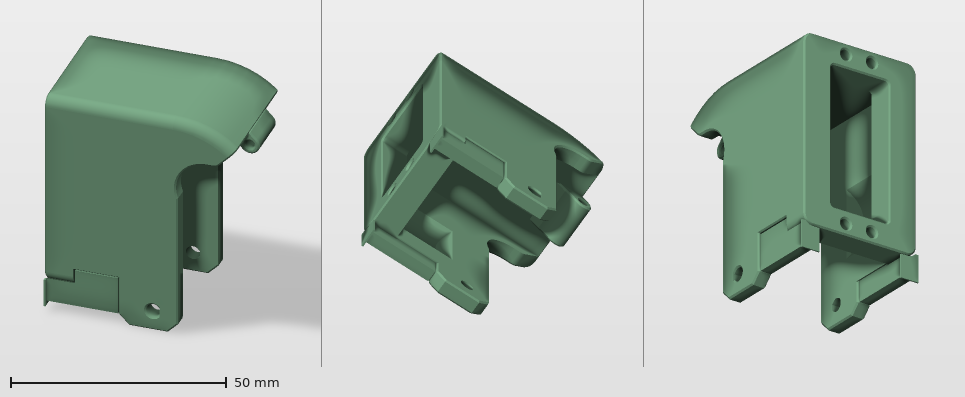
import cadquery as cq
import math

HEIGHT = 57.4
HALF_WIDTH = 16.0
WALL = 3.8
FRONT_WALL = 7.0
BODY_BOTTOM = 8.0
CORNER_RADIUS = 2.5
CHAMFER = 0.4

HOOD_START = 31.55
HOOD_RADIUS = 23.0
HOOD_END_X = 46.95
HOOD_UNDERSIDE = 46.75
NOSE_RADIUS = 2.0
THROAT_X = 39.75
THROAT_RADIUS = 7.6

LEG_FRONT = 18.2
LEG_BACK = 32.7
LEG_BEVEL = 2.5
LEG_HOLE_X = 26.55
LEG_HOLE_Z = 5.05
LEG_HOLE_RADIUS = 1.7

WINDOW_WIDTH = 16.5
WINDOW_HEIGHT = 36.7
WINDOW_CORNER = 1.1
SCREW_DIAMETER = 2.75
SCREW_Y = (4.1, -3.3)
SCREW_OFFSET_Z = 21.8
SEAT_RADIUS = 15.1
SEAT_Z = 24.2
SEAT_END_X = 19.6

LUG_X = 46.8
LUG_Z = 48.15
LUG_RADIUS = 2.4
LUG_WIDTH = 11.8
LUG_HOLE_DIAMETER = 2.2
LUG_NECK_Z = 47.6
LUG_NECK_RADIUS = 5.75
LUG_NECK_TURN = 23.0
LUG_ROOT_SLOPE = 42.0

GAP = 0.35
END_GAP = 0.25
SUPPORT_TOP = 12.0
SUPPORT_SLOPE = 14.0
FOOT_MARGIN = 1.005
FOOT_THICKNESS = 0.4
FOOT_TOP = 8.6

DIAGONAL = math.sqrt(0.5)
INNER_HALF_WIDTH = HALF_WIDTH - WALL
BODY_MIDDLE = (HEIGHT + BODY_BOTTOM) / 2
ROOF = BODY_MIDDLE + WINDOW_HEIGHT / 2
SUPPORT_OUTER = HALF_WIDTH - CHAMFER
SUPPORT_INNER = INNER_HALF_WIDTH + CHAMFER
MARGIN = 0.6


def hood_height(x):
    """Z of the hood's top arc."""
    return HEIGHT - HOOD_RADIUS + math.sqrt(HOOD_RADIUS ** 2 - (x - HOOD_START) ** 2)


HOOD_END = (HOOD_END_X, hood_height(HOOD_END_X))


def both_sides(solid):
    """The solid together with its mirror image across the middle plane."""
    return solid.union(solid.mirror("XZ"))


def plane_edges(body, y, x_range, z_range):
    """Edges centred within the given ranges on the two planes at +y and -y."""
    chosen = []
    for side_y in (y, -y):
        low = (x_range[0], side_y - GAP / 2, z_range[0])
        high = (x_range[1], side_y + GAP / 2, z_range[1])
        chosen += body.edges(cq.selectors.BoxSelector(low, high)).vals()
    return body.newObject(chosen)


def side_profile_block():
    """Body, hood and legs as one extruded side outline."""
    half_corner = math.radians(22.5)
    corner_x = HOOD_END_X - (HOOD_END[1] - HOOD_UNDERSIDE)
    setback = NOSE_RADIUS * math.tan(half_corner)
    nose_start = (corner_x + setback * DIAGONAL, HOOD_UNDERSIDE + setback * DIAGONAL)
    nose_end = (corner_x - setback, HOOD_UNDERSIDE)
    nose_middle = (
        nose_end[0] + NOSE_RADIUS * math.sin(half_corner),
        HOOD_UNDERSIDE + NOSE_RADIUS * (1 - math.cos(half_corner)),
    )

    throat_z = HOOD_UNDERSIDE - THROAT_RADIUS
    throat_middle = (THROAT_X - THROAT_RADIUS * DIAGONAL, throat_z + THROAT_RADIUS * DIAGONAL)
    throat_end = (LEG_BACK, throat_z - math.sqrt(THROAT_RADIUS ** 2 - (THROAT_X - LEG_BACK) ** 2))

    hood_middle_x = (HOOD_START + HOOD_END_X) / 2
    return (
        cq.Workplane("XZ", origin=(0, HALF_WIDTH, 0))
        .moveTo(0, BODY_BOTTOM)
        .lineTo(0, HEIGHT)
        .lineTo(HOOD_START, HEIGHT)
        .threePointArc((hood_middle_x, hood_height(hood_middle_x)), HOOD_END)
        .lineTo(*nose_start)
        .threePointArc(nose_middle, nose_end)
        .lineTo(THROAT_X, HOOD_UNDERSIDE)
        .threePointArc(throat_middle, throat_end)
        .lineTo(LEG_BACK, LEG_BEVEL)
        .lineTo(LEG_BACK - LEG_BEVEL, 0)
        .lineTo(LEG_FRONT + LEG_BEVEL, 0)
        .lineTo(LEG_FRONT, LEG_BEVEL)
        .lineTo(LEG_FRONT, BODY_BOTTOM)
        .close()
        .extrude(2 * HALF_WIDTH)
    )


def round_long_edges(body):
    """Rounds the four edges along X; the upper two run on over the hood."""
    for z in (HEIGHT, BODY_BOTTOM):
        edges = plane_edges(body, HALF_WIDTH, (MARGIN, HOOD_START), (z - GAP, z + GAP))
        body = edges.fillet(CORNER_RADIUS)
    return body


def support_pockets():
    """Recesses in the side walls, open outward and downward, that receive the supports."""
    slope = math.tan(math.radians(SUPPORT_SLOPE))
    outside = HALF_WIDTH + MARGIN
    ceiling = SUPPORT_TOP + GAP
    pocket = (
        cq.Workplane("YZ", origin=(FRONT_WALL, 0, 0))
        .moveTo(SUPPORT_INNER, 0)
        .lineTo(SUPPORT_INNER, ceiling + (SUPPORT_OUTER - SUPPORT_INNER) * slope)
        .lineTo(outside, ceiling + (SUPPORT_OUTER - outside) * slope)
        .lineTo(outside, 0)
        .close()
        .extrude(LEG_FRONT - FRONT_WALL)
    )
    return both_sides(pocket)


def cavity():
    """Space between the side walls, open at the bottom and at the back."""
    return cq.Workplane("XY", origin=(FRONT_WALL, 0, 0)).box(
        HEIGHT, 2 * INNER_HALF_WIDTH, ROOF, centered=(False, True, False)
    )


def round_seat():
    """Cylinder along X that bites into both side walls and ends in 45 degree faces."""
    point_x = SEAT_END_X + SEAT_RADIUS
    cylinder = (
        cq.Workplane("YZ", origin=(FRONT_WALL, 0, SEAT_Z))
        .circle(SEAT_RADIUS)
        .extrude(point_x - FRONT_WALL)
    )
    pointed_block = (
        cq.Workplane("XY")
        .moveTo(FRONT_WALL, -SEAT_RADIUS)
        .lineTo(SEAT_END_X, -SEAT_RADIUS)
        .lineTo(point_x, 0)
        .lineTo(SEAT_END_X, SEAT_RADIUS)
        .lineTo(FRONT_WALL, SEAT_RADIUS)
        .close()
        .extrude(HEIGHT)
    )
    return cylinder.intersect(pointed_block)


def window():
    """Rounded opening through the front wall, with a chamfered rim."""
    face = cq.Workplane("YZ", origin=(0, 0, BODY_MIDDLE))
    opening = cq.Sketch().rect(WINDOW_WIDTH, WINDOW_HEIGHT).vertices().fillet(WINDOW_CORNER)
    rim = (
        cq.Sketch()
        .rect(WINDOW_WIDTH + 2 * CHAMFER, WINDOW_HEIGHT + 2 * CHAMFER)
        .vertices()
        .fillet(WINDOW_CORNER + CHAMFER)
    )
    passage = face.placeSketch(opening).extrude(FRONT_WALL)
    return passage.union(face.placeSketch(rim).extrude(CHAMFER, taper=45))


def screw_holes():
    """Chamfered holes above and below the window, as deep as the front wall."""
    points = [(y, z) for y in SCREW_Y for z in (SCREW_OFFSET_Z, -SCREW_OFFSET_Z)]
    face = cq.Workplane("YZ", origin=(0, 0, BODY_MIDDLE)).pushPoints(points)
    bores = face.circle(SCREW_DIAMETER / 2).extrude(FRONT_WALL)
    rims = face.circle(SCREW_DIAMETER / 2 + CHAMFER).extrude(CHAMFER, taper=45)
    return bores.union(rims)


def teardrop(radius, depth, taper=0.0):
    """Round hole from the -Y face with a 45 degree point toward +X."""
    tangent = radius * DIAGONAL
    return (
        cq.Workplane("XZ", origin=(LEG_HOLE_X, -HALF_WIDTH, LEG_HOLE_Z))
        .moveTo(tangent, tangent)
        .threePointArc((-radius, 0), (tangent, -tangent))
        .lineTo(2 * tangent, 0)
        .close()
        .extrude(-depth, taper=taper)
    )


def leg_holes():
    """Chamfered teardrop holes, cut flat where they touch the round part."""
    bore = teardrop(LEG_HOLE_RADIUS, WALL)
    rim = teardrop(LEG_HOLE_RADIUS + CHAMFER, CHAMFER, taper=45)
    flat_x = LEG_HOLE_X + LEG_HOLE_RADIUS
    before_flat = cq.Workplane("XY").box(flat_x, 2 * HALF_WIDTH, HEIGHT, centered=(False, True, False))
    return both_sides(bore.union(rim).intersect(before_flat))


def hinge_lug():
    """Bar at 45 degrees with a round, bored end, rooted in the roof of the hood."""
    tangent = LUG_RADIUS * DIAGONAL
    neck_x = LUG_X + LUG_Z - 2 * tangent - LUG_NECK_Z

    def neck_point(turn):
        angle = math.radians(45 + turn)
        return (
            neck_x + LUG_NECK_RADIUS * (math.cos(angle) - DIAGONAL),
            LUG_NECK_Z + LUG_NECK_RADIUS * (math.sin(angle) - DIAGONAL),
        )

    neck_end = neck_point(LUG_NECK_TURN)
    root_x = neck_end[0] - (ROOF - neck_end[1]) / math.tan(math.radians(LUG_ROOT_SLOPE))
    bar = (
        cq.Workplane("XZ", origin=(0, LUG_WIDTH / 2, 0))
        .moveTo(*HOOD_END)
        .lineTo(LUG_X + tangent, LUG_Z + tangent)
        .threePointArc((LUG_X + tangent, LUG_Z - tangent), (LUG_X - tangent, LUG_Z - tangent))
        .lineTo(neck_x, LUG_NECK_Z)
        .threePointArc(neck_point(LUG_NECK_TURN / 2), neck_end)
        .lineTo(root_x, ROOF)
        .close()
        .extrude(LUG_WIDTH)
        .faces("<Y or >Y")
        .chamfer(CHAMFER)
    )
    centre = cq.Workplane("XZ", origin=(LUG_X, LUG_WIDTH / 2, LUG_Z))
    bore = centre.circle(LUG_HOLE_DIAMETER / 2).extrude(LUG_WIDTH)
    rim = (
        cq.Workplane("XZ", origin=(LUG_X, -LUG_WIDTH / 2, LUG_Z))
        .circle(LUG_HOLE_DIAMETER / 2 + CHAMFER)
        .extrude(-CHAMFER, taper=45)
    )
    return bar.cut(bore).cut(both_sides(rim))


def make_housing():
    body = round_long_edges(side_profile_block())
    body = body.cut(support_pockets())
    body = body.faces("<X").chamfer(CHAMFER)
    body = plane_edges(
        body, HALF_WIDTH, (FRONT_WALL + MARGIN, HOOD_END_X), (-MARGIN, ROOF)
    ).chamfer(CHAMFER)
    body = body.cut(cavity())
    body = plane_edges(
        body, INNER_HALF_WIDTH, (LEG_FRONT - GAP, LEG_BACK - GAP), (-MARGIN, BODY_BOTTOM - GAP)
    ).chamfer(CHAMFER)
    for opening in (round_seat(), window(), screw_holes(), leg_holes()):
        body = body.cut(opening)
    return body.union(hinge_lug())


def front_clearance():
    """The front part of the housing, grown by the gap."""
    grown_half_width = HALF_WIDTH + GAP
    return (
        cq.Workplane("XY", origin=(0, 0, BODY_BOTTOM - GAP))
        .box(FRONT_WALL + GAP, 2 * grown_half_width, HEIGHT, centered=(False, True, False))
        .edges("|X and <Z")
        .fillet(CORNER_RADIUS + GAP)
    )


def make_support():
    """Block on the +Y side that carries the face of a leg, standing on a thin foot plate."""
    rise = (SUPPORT_OUTER - SUPPORT_INNER) * math.tan(math.radians(SUPPORT_SLOPE))
    block = (
        cq.Workplane("YZ")
        .moveTo(SUPPORT_INNER, LEG_BEVEL)
        .lineTo(SUPPORT_OUTER, LEG_BEVEL)
        .lineTo(SUPPORT_OUTER, SUPPORT_TOP)
        .lineTo(SUPPORT_INNER, SUPPORT_TOP + rise)
        .close()
        .extrude(LEG_FRONT - END_GAP)
    )
    foot_bottom = LEG_BEVEL - FOOT_MARGIN
    foot = cq.Workplane("XY", origin=(0, SUPPORT_INNER - FOOT_MARGIN, foot_bottom)).box(
        FOOT_THICKNESS,
        SUPPORT_OUTER - SUPPORT_INNER + 2 * FOOT_MARGIN,
        FOOT_TOP - foot_bottom,
        centered=False,
    )
    return block.union(foot).cut(front_clearance())


housing = make_housing()

supports = []
for side in (1, -1):
    support = make_support()
    if side < 0:
        support = support.mirror("XZ")
    supports.append(support.val())

result = cq.Compound.makeCompound([housing.val(), *supports])